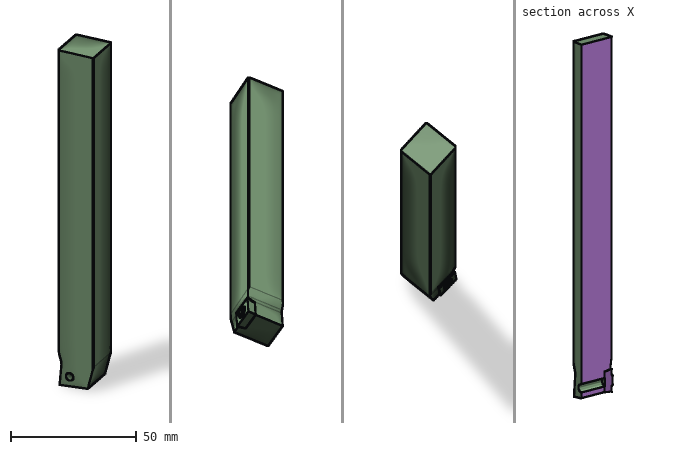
import cadquery as cq
import math

shank_size = 15.9
tool_length = 150.0
edge_chamfer = 0.5

insert_side = 9.68
insert_thickness = 3.6
insert_nose_angle = 80.0
relief_angle = 7.0
lead_angle = (90.0 - insert_nose_angle) / 2

boss_diameter = 4.8
boss_height = 0.6
boss_chamfer = 0.5
screw_hole_diameter = 3.3

head_corner_x = 0.68
head_corner_z = 0.6
head_toe_x = 13.4
back_relief_top_z = 11.8
neck_top_z = 16.0
neck_bottom_z = 10.6
neck_radius = 4.8
head_face_drop = 0.6
head_face_top_z = 15.0

lead_slope = math.tan(math.radians(lead_angle))
half_diagonal = insert_side * math.cos(math.radians(insert_nose_angle / 2))
insert_center = half_diagonal * math.cos(math.radians(45))


def make_insert_plate():
    """Rhombic plate, flush with the +Y face and tapering towards -Y."""
    along = insert_side * math.cos(math.radians(lead_angle))
    across = insert_side * math.sin(math.radians(lead_angle))
    outline = [(0, 0), (along, across), (along + across, along + across), (across, along)]
    return (
        cq.Workplane("XZ", origin=(0, shank_size, 0))
        .polyline(outline)
        .close()
        .extrude(insert_thickness, taper=relief_angle)
    )


def make_insert():
    """Plate with a chamfered round boss on its +Y face."""
    boss = (
        cq.Workplane("XZ", origin=(insert_center, shank_size, insert_center))
        .circle(boss_diameter / 2)
        .extrude(-boss_height)
        .faces(">Y")
        .chamfer(boss_chamfer)
    )
    return make_insert_plate().union(boss)


def make_shank():
    """Full-length square bar with chamfered long edges."""
    return (
        cq.Workplane("XY")
        .rect(shank_size, shank_size)
        .extrude(tool_length)
        .edges("|Z")
        .chamfer(edge_chamfer)
        .translate((shank_size / 2, shank_size / 2, 0))
    )


def make_side_profile():
    """Profile in XZ that gives the bar its relieved head and rounded neck."""
    neck_bottom_x = head_corner_x + (neck_bottom_z - head_corner_z) * lead_slope
    head_toe_z = head_corner_z + (head_toe_x - head_corner_x) * lead_slope
    outline = [
        (head_corner_x, head_corner_z),
        (head_toe_x, head_toe_z),
        (shank_size, back_relief_top_z),
        (shank_size, tool_length),
        (0, tool_length),
        (0, neck_top_z),
        (neck_bottom_x, neck_bottom_z),
    ]
    neck_edge = cq.selectors.NearestToPointSelector((neck_bottom_x, shank_size / 2, neck_bottom_z))
    return (
        cq.Workplane("XZ")
        .polyline(outline)
        .close()
        .extrude(-shank_size)
        .edges("|Y")
        .edges(neck_edge)
        .fillet(neck_radius)
    )


def make_head_face_cut():
    """Wedge that ramps the +Y face down at the neck, leaving the insert proud."""
    head_face_y = shank_size - head_face_drop
    outline = [
        (shank_size, head_face_top_z),
        (head_face_y, neck_bottom_z),
        (head_face_y, 0),
        (shank_size, 0),
    ]
    return cq.Workplane("YZ").polyline(outline).close().extrude(shank_size)


def make_holder():
    """Shank with its shaped head, insert pocket and screw hole."""
    screw_hole = (
        cq.Workplane("XZ", origin=(insert_center, 0, insert_center))
        .circle(screw_hole_diameter / 2)
        .extrude(-(shank_size - insert_thickness))
    )
    shaped_bar = make_shank().intersect(make_side_profile()).cut(make_head_face_cut())
    return shaped_bar.cut(make_insert_plate()).cut(screw_hole)


holder = make_holder()
insert = make_insert()
result = cq.Compound.makeCompound([holder.val(), insert.val()])